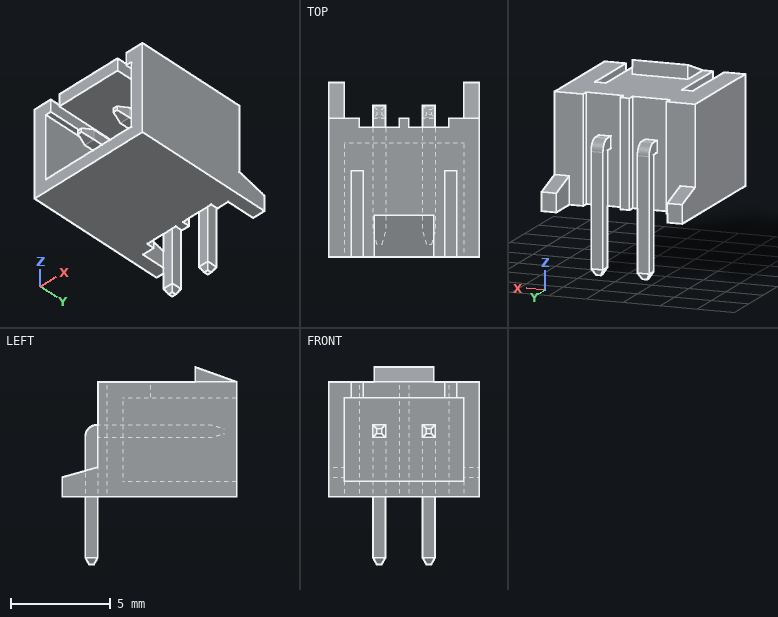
import cadquery as cq


housing_width = 7.6
housing_depth = 7.0
housing_height = 5.8
wall = 0.8
back_notch_depth = 0.45
back_notch_half_span = 2.25
centre_rib_width = 0.5
cavity_depth = housing_depth - back_notch_depth - wall

latch_width = 4.1
latch_slot_width = 0.6
latch_slot_length = 4.35
catch_width = 3.0
catch_length = 2.1
catch_height = 0.75

arm_length = 1.8
arm_root_height = 1.5
arm_tip_height = 1.0

pin_pitch = 2.5
pin_size = 0.64
pin_axis_z = 3.32
pin_front_y = 0.65
pin_drop = 3.4
pin_bend_radius = 0.6
pin_point_size = 0.25
contact_point_length = 0.68
tail_point_length = 0.35
pin_xs = (-pin_pitch / 2, pin_pitch / 2)


def box(x_range, y_range, z_range):
    """Block spanning the given (low, high) ranges."""
    size = [high - low for low, high in (x_range, y_range, z_range)]
    corner = (x_range[0], y_range[0], z_range[0])
    return cq.Workplane("XY").box(*size, centered=False).translate(corner)


def side_profile(points, x_centre, width):
    """Closed (y, z) outline extruded along X, centred on x_centre."""
    profile = cq.Workplane("YZ").polyline(points).close()
    return profile.extrude(width / 2, both=True).translate((x_centre, 0, 0))


def make_shell():
    half_width = housing_width / 2
    half_cavity = half_width - wall
    block = box((-half_width, half_width), (0, housing_depth), (0, housing_height))
    cavity = box((-half_cavity, half_cavity), (0, cavity_depth), (wall, housing_height - wall))
    return block.cut(cavity)


def make_slot(side):
    """Slot through the top wall along one edge of the latch; side is -1 or 1."""
    x_centre = side * (latch_width + latch_slot_width) / 2
    x_range = (x_centre - latch_slot_width / 2, x_centre + latch_slot_width / 2)
    return box(x_range, (0, latch_slot_length), (housing_height - wall, housing_height))


def make_back_notch(side):
    """Full-height notch in the back face, between the centre rib and one corner."""
    x_range = sorted((side * centre_rib_width / 2, side * back_notch_half_span))
    return box(x_range, (housing_depth - back_notch_depth, housing_depth), (0, housing_height))


def make_catch():
    top = housing_height + catch_height
    points = [(0, housing_height), (catch_length, housing_height), (catch_length, top)]
    return side_profile(points, 0, catch_width)


def make_arm(side):
    arm_end = housing_depth + arm_length
    points = [
        (housing_depth, 0),
        (arm_end, 0),
        (arm_end, arm_tip_height),
        (housing_depth, arm_root_height),
    ]
    return side_profile(points, side * (housing_width - wall) / 2, wall)


def make_pin(x_centre):
    """L-shaped square pin: pointed contact along Y, bend behind the housing, pointed tail down."""
    half = pin_size / 2
    shoulder_y = pin_front_y + contact_point_length
    shoulder_z = tail_point_length - pin_drop
    tail_front = housing_depth
    tail_back = housing_depth + pin_size
    bar = side_profile(
        [
            (shoulder_y, pin_axis_z - half),
            (tail_front, pin_axis_z - half),
            (tail_front, shoulder_z),
            (tail_back, shoulder_z),
            (tail_back, pin_axis_z + half),
            (shoulder_y, pin_axis_z + half),
        ],
        0,
        pin_size,
    )
    bar = bar.edges("|X").edges(">Y and >Z").fillet(pin_bend_radius)
    contact_plane = cq.Plane(origin=(0, shoulder_y, pin_axis_z), xDir=(1, 0, 0), normal=(0, -1, 0))
    tail_plane = cq.Plane(origin=(0, tail_front + half, shoulder_z), xDir=(1, 0, 0), normal=(0, 0, -1))
    bar = bar.union(make_point(contact_plane, contact_point_length))
    bar = bar.union(make_point(tail_plane, tail_point_length))
    return bar.translate((x_centre, 0, 0))


def make_point(base_plane, length):
    """Square taper from the full pin section on base_plane to the blunt tip."""
    base = cq.Workplane(base_plane).rect(pin_size, pin_size)
    return base.workplane(offset=length).rect(pin_point_size, pin_point_size).loft(ruled=True)


housing = make_shell().union(make_catch())
for side in (-1, 1):
    housing = housing.cut(make_slot(side)).cut(make_back_notch(side)).union(make_arm(side))

pins = [make_pin(x) for x in pin_xs]
for pin in pins:
    housing = housing.cut(pin)

result = cq.Compound.makeCompound([housing.val(), *[pin.val() for pin in pins]])